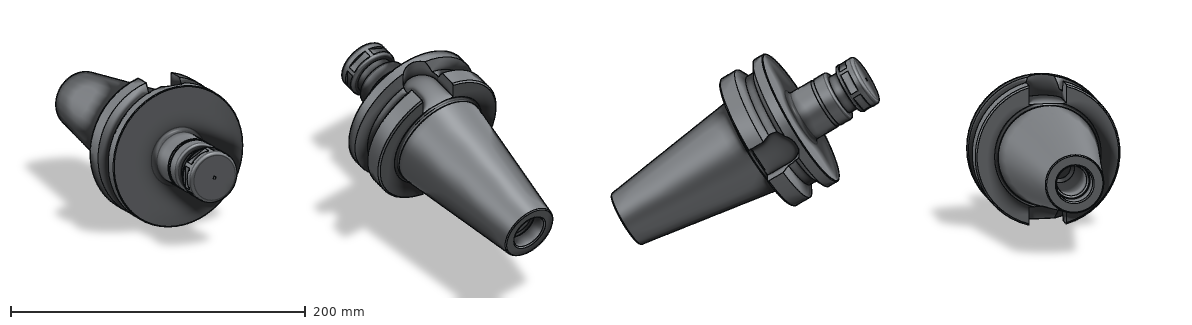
import cadquery as cq
import math


length = 191.8
taper_end = 101.8
flange_start = 104.7
flange_end = 139.6
groove_center = 124.7
ring_start = 158.5
ring_end = 160.7
collar_end = 170.3
nut_start = 177.5

taper_ratio = 7 / 24
taper_radius = 35.0
taper_chamfer = 0.8
tip_radius = taper_radius - (taper_end - taper_chamfer) * taper_ratio / 2

neck_radius = 34.5
relief_chamfer = 0.5
undercut_radius = 1.2
undercut_start = 104.3
undercut_middle = (undercut_start + undercut_radius, neck_radius + undercut_radius)
undercut_rise = undercut_radius + math.sqrt(undercut_radius**2 - (flange_start - undercut_start) ** 2)

flange_radius = 100.0 / 2
flange_front_chamfer = 1.2
flange_back_chamfer = 0.5
groove_radius = 42.5
groove_floor_width = 6.1
groove_angle = 60
groove_half_floor = groove_floor_width / 2
groove_slope = math.tan(math.radians(groove_angle / 2))
groove_half_mouth = groove_half_floor + (flange_radius - groove_radius) * groove_slope

slot_width = 25.7
slot_floor = 35.5
slot_end = 135.8

collar_radius = 36.0 / 2
collar_root_fillet = 2.9
collar_end_fillet = 1.7
ring_depth = 0.4
nut_neck_radius = 28.0 / 2
nut_fillet = 2.1

flat_count = 6
flat_distance = 16.3
flat_start = 180.3
flat_end = 186.0

pilot_radius = 12.5
pilot_chamfer = 1.0
pilot_depth = 11.1
thread_radius = 21.0 / 2
thread_chamfer = 1.3
thread_depth = 59.5
bore_floor_radius = 15.7 / 2
drill_point_angle = 118
drill_point_slope = math.tan(math.radians(drill_point_angle / 2))
counterbore_radius = 5.0 / 2
counterbore_depth = 5.8
channel_radius = 2.0 / 2


def revolve_about_x(outline):
    """Close an outline given as X and radius, and turn it about the X axis."""
    return outline.close().revolve(360, (0, 0, 0), (1, 0, 0))


def rounded_corner(outline, corner_x, corner_radius, size, direction):
    """Add an outer quarter round; direction is +1 at the start of a step and -1 at its end."""
    inset = size * (1 - math.sqrt(0.5))
    start_face = (corner_x, corner_radius - size)
    middle = (corner_x + direction * inset, corner_radius - inset)
    end_face = (corner_x + direction * size, corner_radius)
    if direction > 0:
        return outline.lineTo(*start_face).threePointArc(middle, end_face)
    return outline.lineTo(*end_face).threePointArc(middle, start_face)


def make_body():
    outline = (
        cq.Workplane("XY")
        .moveTo(0, 0)
        .lineTo(0, tip_radius - taper_chamfer)
        .lineTo(taper_chamfer, tip_radius)
        .lineTo(taper_end, taper_radius)
        .lineTo(taper_end + relief_chamfer, neck_radius)
        .lineTo(undercut_start, neck_radius)
        .threePointArc(undercut_middle, (flange_start, neck_radius + undercut_rise))
        .lineTo(flange_start, flange_radius - flange_front_chamfer)
        .lineTo(flange_start + flange_front_chamfer, flange_radius)
        .lineTo(groove_center - groove_half_mouth, flange_radius)
        .lineTo(groove_center - groove_half_floor, groove_radius)
        .lineTo(groove_center + groove_half_floor, groove_radius)
        .lineTo(groove_center + groove_half_mouth, flange_radius)
        .lineTo(flange_end - flange_back_chamfer, flange_radius)
        .lineTo(flange_end, flange_radius - flange_back_chamfer)
        .lineTo(flange_end, collar_radius + collar_root_fillet)
    )
    root_inset = collar_root_fillet * (1 - math.sqrt(0.5))
    outline = (
        outline.threePointArc(
            (flange_end + root_inset, collar_radius + root_inset),
            (flange_end + collar_root_fillet, collar_radius),
        )
        .lineTo(ring_start, collar_radius)
        .lineTo(ring_start, collar_radius - ring_depth)
        .lineTo(ring_end, collar_radius - ring_depth)
        .lineTo(ring_end, collar_radius)
    )
    outline = rounded_corner(outline, collar_end, collar_radius, collar_end_fillet, -1)
    outline = outline.lineTo(collar_end, nut_neck_radius).lineTo(nut_start, nut_neck_radius)
    outline = rounded_corner(outline, nut_start, collar_radius, nut_fillet, 1)
    outline = rounded_corner(outline, length, collar_radius, nut_fillet, -1)
    return revolve_about_x(outline.lineTo(length, 0))


def make_bore():
    thread_start = pilot_depth + thread_chamfer
    floor_x = thread_depth + (thread_radius - bore_floor_radius) / drill_point_slope
    counterbore_end = floor_x + counterbore_depth
    outline = (
        cq.Workplane("XY")
        .moveTo(0, 0)
        .lineTo(0, pilot_radius + pilot_chamfer)
        .lineTo(pilot_chamfer, pilot_radius)
        .lineTo(pilot_depth, pilot_radius)
        .lineTo(pilot_depth, thread_radius + thread_chamfer)
        .lineTo(thread_start, thread_radius)
        .lineTo(thread_depth, thread_radius)
        .lineTo(floor_x, bore_floor_radius)
        .lineTo(floor_x, counterbore_radius)
        .lineTo(counterbore_end, counterbore_radius)
        .lineTo(counterbore_end, channel_radius)
        .lineTo(length, channel_radius)
        .lineTo(length, 0)
    )
    return revolve_about_x(outline)


def make_drive_slot():
    """Slot on the +Z side, open toward the taper and round at its far end."""
    round_center = slot_end - slot_width / 2
    return (
        cq.Workplane("XY", origin=(0, 0, slot_floor))
        .moveTo(flange_start, -slot_width / 2)
        .lineTo(round_center, -slot_width / 2)
        .threePointArc((slot_end, 0), (round_center, slot_width / 2))
        .lineTo(flange_start, slot_width / 2)
        .close()
        .extrude(flange_radius)
    )


def make_flat_cutter():
    """Block that cuts the wrench flat on the -Y side of the nut."""
    flat_length = flat_end - flat_start
    return cq.Workplane("XY").box(flat_length, collar_radius, 2 * collar_radius).translate(
        ((flat_start + flat_end) / 2, -flat_distance - collar_radius / 2, 0)
    )


def turned(shape, angle):
    return shape.rotate((0, 0, 0), (1, 0, 0), angle)


result = make_body().cut(make_bore())

drive_slot = make_drive_slot()
for side_angle in (0, 180):
    result = result.cut(turned(drive_slot, side_angle))

flat_cutter = make_flat_cutter()
for index in range(flat_count):
    result = result.cut(turned(flat_cutter, index * 360 / flat_count))